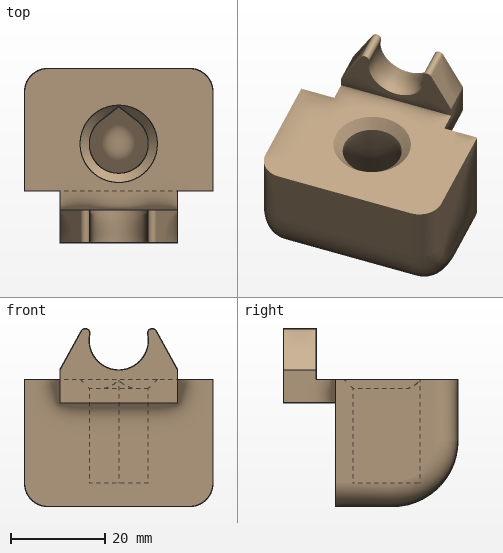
import cadquery as cq
import math


BLOCK_WIDTH = 40.0
BLOCK_DEPTH = 26.0
BLOCK_HEIGHT = 27.0
HEEL_RADIUS = 14.0
EDGE_RADIUS = 5.0

SOCKET_RADIUS = 6.25
SOCKET_TIP_REACH = 7.9
SOCKET_FLANK_ANGLE = 58.0
SOCKET_DEPTH = 22.0
SOCKET_SETBACK = 10.0
COUNTERSINK_RADIUS = 8.2
COUNTERSINK_DEPTH = COUNTERSINK_RADIUS - SOCKET_RADIUS

CLIP_WIDTH = 25.0
CLIP_THICKNESS = 7.0
SHELF_REACH = 11.0
SHELF_THICKNESS = 5.0
SHOULDER_HEIGHT = 2.0
CLIP_HEIGHT = 10.75
CLIP_BORE_RADIUS = 6.25
TIP_RADIUS = 1.0


def point_on_circle(center, radius, angle):
    """Point at an angle (radians) on a circle."""
    return (center[0] + radius * math.cos(angle), center[1] + radius * math.sin(angle))


def mirrored(point):
    """The same point on the other side of the middle plane."""
    return (-point[0], point[1])


def make_block():
    """Block with a bent heel, rounded along the back, heel and bottom edges of both sides."""
    block = (
        cq.Workplane("XY")
        .box(BLOCK_WIDTH, BLOCK_DEPTH, BLOCK_HEIGHT, centered=(True, False, False))
        .translate((0, 0, -BLOCK_HEIGHT))
    )
    block = block.edges(">Y and <Z").fillet(HEEL_RADIUS)
    return block.edges("|Z and >Y").fillet(EDGE_RADIUS)


def make_socket():
    """Cutting body of the teardrop socket with its conical mouth."""
    flank_start = point_on_circle((0, 0), SOCKET_RADIUS, math.radians(SOCKET_FLANK_ANGLE))
    teardrop = (
        cq.Workplane("XY")
        .moveTo(0, SOCKET_TIP_REACH)
        .lineTo(*flank_start)
        .threePointArc((0, -SOCKET_RADIUS), mirrored(flank_start))
        .close()
        .extrude(-SOCKET_DEPTH)
    )
    mouth = (
        cq.Workplane("XZ")
        .lineTo(COUNTERSINK_RADIUS, 0)
        .lineTo(SOCKET_RADIUS, -COUNTERSINK_DEPTH)
        .lineTo(0, -COUNTERSINK_DEPTH)
        .close()
        .revolve(360, (0, 0), (0, 1))
    )
    return teardrop.union(mouth).translate((0, SOCKET_SETBACK, 0))


def make_clip():
    """Clip whose rounded prong tips blend tangentially into the bore and the outer slopes."""
    shoulder = (CLIP_WIDTH / 2, SHOULDER_HEIGHT)
    bore_center_height = SHOULDER_HEIGHT + CLIP_BORE_RADIUS
    tip_center_height = CLIP_HEIGHT - TIP_RADIUS
    tip_rise = tip_center_height - bore_center_height
    center_distance = CLIP_BORE_RADIUS + TIP_RADIUS
    tip_center = (math.sqrt(center_distance**2 - tip_rise**2), tip_center_height)
    tip_top = (tip_center[0], CLIP_HEIGHT)

    bore_angle = math.asin(tip_rise / center_distance)
    inner_tangent = point_on_circle((0, bore_center_height), CLIP_BORE_RADIUS, bore_angle)

    run = shoulder[0] - tip_center[0]
    drop = shoulder[1] - tip_center[1]
    slope_angle = math.atan2(drop, run) + math.acos(TIP_RADIUS / math.hypot(run, drop))
    outer_tangent = point_on_circle(tip_center, TIP_RADIUS, slope_angle)

    return (
        cq.Workplane("XZ", origin=(0, CLIP_THICKNESS - SHELF_REACH, 0))
        .moveTo(CLIP_WIDTH / 2, -SHELF_THICKNESS)
        .lineTo(*shoulder)
        .lineTo(*outer_tangent)
        .threePointArc(tip_top, inner_tangent)
        .threePointArc((0, SHOULDER_HEIGHT), mirrored(inner_tangent))
        .threePointArc(mirrored(tip_top), mirrored(outer_tangent))
        .lineTo(*mirrored(shoulder))
        .lineTo(-CLIP_WIDTH / 2, -SHELF_THICKNESS)
        .close()
        .extrude(CLIP_THICKNESS)
    )


def make_shelf():
    """Flat shelf that joins the clip to the front of the block, flush with its top."""
    return (
        cq.Workplane("XY")
        .box(CLIP_WIDTH, SHELF_REACH, SHELF_THICKNESS, centered=(True, False, False))
        .translate((0, -SHELF_REACH, -SHELF_THICKNESS))
    )


result = make_block().union(make_shelf()).union(make_clip()).cut(make_socket())